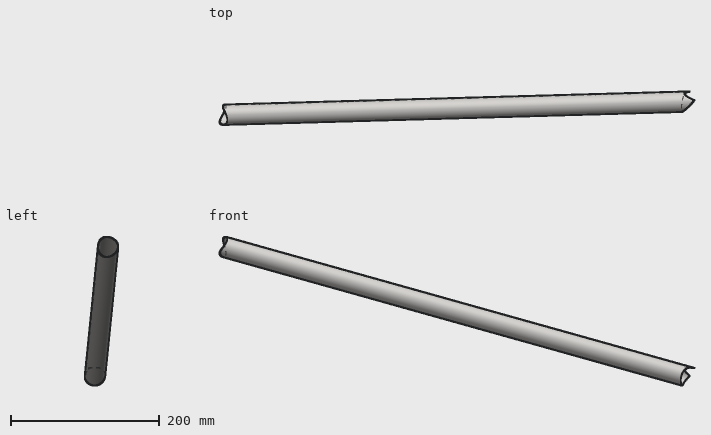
import cadquery as cq
import math

outer_diameter = 28.0
wall = 0.9
outer_radius = outer_diameter / 2
inner_radius = outer_radius - wall

slope_y = 0.0283
slope_z = -0.2800

left_end = -331.0
right_end = 345.0

cutter_reach = 120.0

axis = cq.Vector(1, slope_y, slope_z).normalized()
side = cq.Vector(0, 0, 1).cross(axis).normalized() * -1
up = side.cross(axis)


def axis_cylinder(radius):
    """Solid cylinder along the whole raw tube."""
    return cq.Workplane(cq.Solid.makeCylinder(radius, right_end - left_end, axis * left_end, axis))


def cope_cutter(station, around, tilt, offset, radius):
    """Cylinder of a crossing tube.

    station: where it crosses, along the tube axis
    around: angle of its direction from the top line toward the -Y side
    tilt: lean of its direction along the tube axis
    offset: sideways distance between the two axes
    """
    angle = math.radians(around)
    lean = math.radians(tilt)
    radial = up * math.cos(angle) + side * math.sin(angle)
    sideways = side * math.cos(angle) - up * math.sin(angle)
    direction = radial * math.cos(lean) + axis * math.sin(lean)
    centre = axis * station + sideways * offset
    start = centre - direction * cutter_reach
    return cq.Workplane(cq.Solid.makeCylinder(radius, 2 * cutter_reach, start, direction))


copes = [
    cope_cutter(station=-334.4, around=43.2, tilt=-8.0, offset=0.0, radius=17.1),
    cope_cutter(station=350.0, around=67.2, tilt=-14.4, offset=9.2, radius=26.9),
    cope_cutter(station=369.0, around=-54.5, tilt=-59.3, offset=2.4, radius=12.5),
]

tube = axis_cylinder(outer_radius).cut(axis_cylinder(inner_radius))
for cope in copes:
    tube = tube.cut(cope)

result = tube